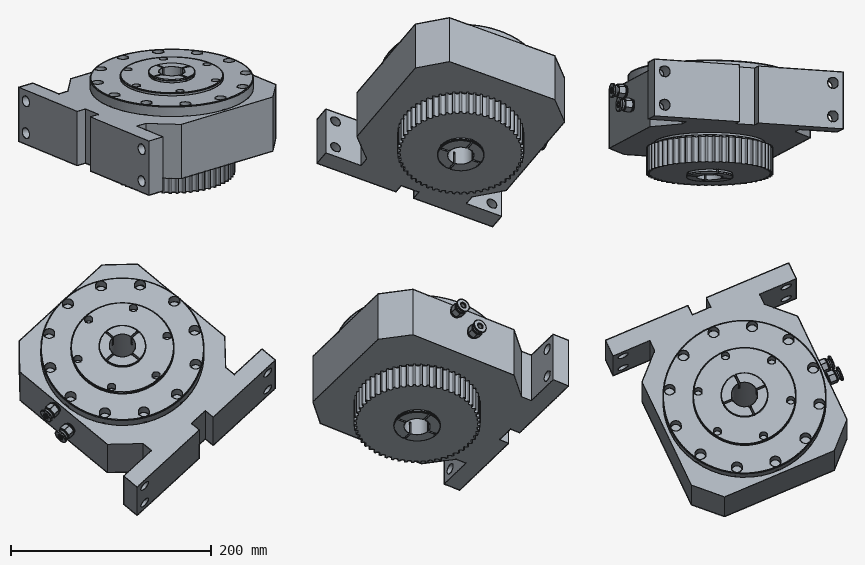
import cadquery as cq
import math


block_half = 85.0
block_height = 57.7
corner_cut = 25.0
neck_half = block_half - corner_cut
base_half = 100.0
base_bottom_y = -115.0
base_thickness = 18.5
key_width = 20.0
key_depth = 10.8
mount_hole_diameter = 11.0
mount_hole_x = 89.0
mount_hole_heights = (12.0, 46.0)
boss_diameter = 110.7
boss_height = 2.2

flange_diameter = 162.8
flange_height = 10.8
cover_diameter = 103.0
cover_height = 3.0
rim_chamfer = 0.8
flange_hole_diameter = 11.0
flange_hole_circle = 150.0
flange_hole_count = 12
cover_hole_diameter = 8.0
cover_hole_circle = 92.6
cover_hole_count = 6
cover_hole_depth = 10.0

pulley_diameter = 126.0
pulley_height = 25.9
tooth_count = 56
groove_diameter = 4.8
groove_depth = 2.8
tooth_tip_radius = 0.5
collar_diameter = 109.3
collar_height = 2.8

spindle_diameter = 45.3
lip_end_diameter = 46.1
lip_diameter = 46.7
lip_height = 1.6
spindle_overhang = 3.8
spindle_bore = 26.0
slot_depth = 14.5
slot_width = 1.8

fitting_centres = ((10.0, 48.7), (-10.0, 30.9))
fitting_length = 15.5
seat_diameter = 11.0
seat_end = 1.2
hex_flats = 12.0
hex_start = 2.2
hex_end = 9.2
shoulder_end = 10.5
shoulder_diameter = 11.0
ring_end = 12.2
ring_diameter = 9.5
stem_diameter = 8.8
disc_start = 13.8
disc_diameter = 14.0
port_diameter = 5.0
port_mouth_diameter = 6.6
port_depth = 10.0
port_tip_angle = 118.0

flange_top = block_height + flange_height
cover_top = flange_top + cover_height
pulley_top = -boss_height - collar_height
pulley_bottom = pulley_top - pulley_height
spindle_top = cover_top + spindle_overhang
spindle_bottom = pulley_bottom - spindle_overhang


def cylinder(diameter, bottom, top):
    """Cylinder on the Z axis between two heights."""
    return cq.Workplane("XY").workplane(offset=bottom).circle(diameter / 2).extrude(top - bottom)


def spindle_barrel():
    """Spindle barrel, which is also the bore it fills in the bodies around it."""
    return cylinder(spindle_diameter, spindle_bottom, spindle_top)


def make_housing():
    base_top_y = base_bottom_y + base_thickness
    key_top_y = base_bottom_y + key_depth
    right_side = [
        (key_width / 2, key_top_y),
        (key_width / 2, base_bottom_y),
        (base_half, base_bottom_y),
        (base_half, base_top_y),
        (neck_half, base_top_y),
        (neck_half, -block_half),
        (block_half, -neck_half),
        (block_half, neck_half),
        (neck_half, block_half),
    ]
    left_side = [(-x, y) for x, y in reversed(right_side)]
    body = cq.Workplane("XY").polyline(right_side + left_side).close().extrude(block_height)
    body = body.union(cylinder(boss_diameter, -boss_height, 0))

    hole_centres = [(x, z) for x in (-mount_hole_x, mount_hole_x) for z in mount_hole_heights]
    mount_holes = (
        cq.Workplane("XZ", origin=(0, base_bottom_y, 0))
        .pushPoints(hole_centres)
        .circle(mount_hole_diameter / 2)
        .extrude(-base_thickness)
    )
    return body.cut(mount_holes).cut(spindle_barrel())


def make_rotor():
    flange = cylinder(flange_diameter, block_height, flange_top).faces(">Z").chamfer(rim_chamfer)
    flange_holes = (
        cq.Workplane("XY", origin=(0, 0, block_height))
        .polarArray(flange_hole_circle / 2, 0, 360, flange_hole_count)
        .circle(flange_hole_diameter / 2)
        .extrude(flange_height)
    )
    cover = cylinder(cover_diameter, flange_top, cover_top).faces(">Z").chamfer(rim_chamfer)
    first_angle = 180 / cover_hole_count
    cover_holes = (
        cq.Workplane("XY", origin=(0, 0, cover_top))
        .polarArray(cover_hole_circle / 2, first_angle, 360, cover_hole_count)
        .circle(cover_hole_diameter / 2)
        .extrude(-cover_hole_depth)
    )
    return flange.cut(flange_holes).union(cover).cut(cover_holes).cut(spindle_barrel())


def make_pulley():
    rim = cylinder(pulley_diameter, pulley_bottom, pulley_top)
    groove_circle_radius = pulley_diameter / 2 - groove_depth + groove_diameter / 2
    grooves = (
        cq.Workplane("XY", origin=(0, 0, pulley_bottom))
        .polarArray(groove_circle_radius, 0, 360, tooth_count)
        .circle(groove_diameter / 2)
        .extrude(pulley_height)
    )
    toothed_rim = rim.cut(grooves).edges("|Z").fillet(tooth_tip_radius)
    collar = cylinder(collar_diameter, pulley_top, pulley_top + collar_height)
    return toothed_rim.union(collar).cut(spindle_barrel())


def spindle_lip(end, inward):
    """Lip at one end of the spindle, widening slightly from the end face inward."""
    cone = cq.Solid.makeCone(
        lip_end_diameter / 2, lip_diameter / 2, lip_height, cq.Vector(0, 0, end), cq.Vector(0, 0, inward)
    )
    return cq.Workplane(cone)


def make_spindle():
    body = spindle_barrel()
    for end, inward in ((spindle_top, -1), (spindle_bottom, 1)):
        body = body.union(spindle_lip(end, inward))
    body = body.cut(cylinder(spindle_bore, spindle_bottom, spindle_top))

    for slot_middle in (spindle_top - slot_depth / 2, spindle_bottom + slot_depth / 2):
        slot = cq.Workplane("XY", origin=(0, 0, slot_middle)).box(lip_diameter, slot_width, slot_depth)
        body = body.cut(slot).cut(slot.rotate((0, 0, 0), (0, 0, 1), 90))
    return body


def make_fitting(centre_y, centre_z):
    """Push-in air fitting that stands out of the block along -X."""
    turned_profile = [
        (0, 0),
        (0, seat_diameter / 2),
        (seat_end, seat_diameter / 2),
        (seat_end, hex_flats / 2),
        (shoulder_end, hex_flats / 2),
        (shoulder_end, shoulder_diameter / 2),
        (ring_end, ring_diameter / 2),
        (ring_end, stem_diameter / 2),
        (disc_start, stem_diameter / 2),
        (disc_start, disc_diameter / 2),
        (fitting_length, disc_diameter / 2),
        (fitting_length, 0),
    ]
    tip_length = port_diameter / 2 / math.tan(math.radians(port_tip_angle / 2))
    mouth_depth = (port_mouth_diameter - port_diameter) / 2
    port_profile = [
        (fitting_length, 0),
        (fitting_length, port_mouth_diameter / 2),
        (fitting_length - mouth_depth, port_diameter / 2),
        (fitting_length - port_depth, port_diameter / 2),
        (fitting_length - port_depth - tip_length, 0),
    ]
    turned, port = (
        cq.Workplane("XY").polyline(profile).close().revolve(360, (0, 0, 0), (1, 0, 0))
        for profile in (turned_profile, port_profile)
    )
    hex_corners = hex_flats / math.cos(math.pi / 6)
    hexagon = (
        cq.Workplane("YZ", origin=(hex_start, 0, 0))
        .transformed(rotate=(0, 0, 90))
        .polygon(6, hex_corners)
        .extrude(hex_end - hex_start)
    )
    fitting = turned.union(hexagon).cut(port)
    return fitting.rotate((0, 0, 0), (0, 0, 1), 180).translate((-block_half, centre_y, centre_z))


housing = make_housing()
rotor = make_rotor()
pulley = make_pulley()
spindle = make_spindle()
fittings = [make_fitting(y, z) for y, z in fitting_centres]

result = cq.Compound.makeCompound(
    [housing.val(), rotor.val(), pulley.val(), spindle.val(), *[fitting.val() for fitting in fittings]]
)